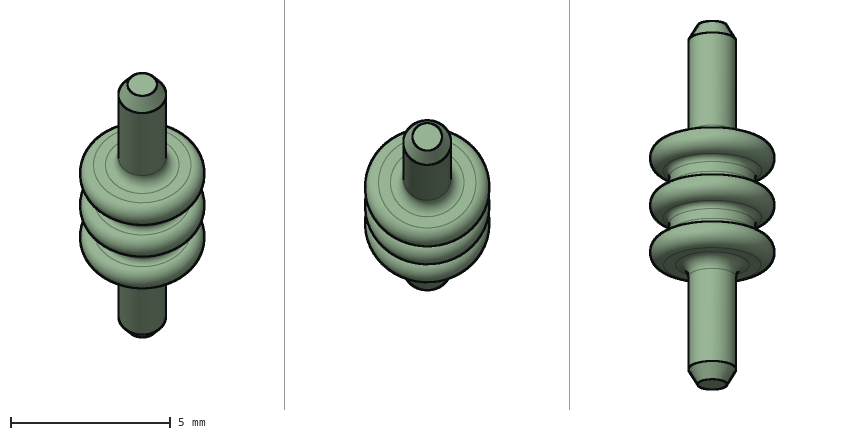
import cadquery as cq
import math

pin_length = 12.0
pin_radius = 1.5 / 2
tip_length = 0.5
tip_half_angle = 30.0
tip_radius = pin_radius - tip_length * math.tan(math.radians(tip_half_angle))

seal_length = 4.0
seal_radius = 3.9 / 2
core_radius = 2.7 / 2
rib_count = 3
rib_round = 0.85 / 2
rib_pitch = (seal_length - 2 * rib_round) / (rib_count - 1)
rib_round_centre = seal_radius - rib_round

collar_fillet = 0.4
groove_fillet = 0.2

fillet_centre = core_radius + groove_fillet
fillet_offset = fillet_centre - rib_round_centre
fillet_height = math.sqrt((rib_round + groove_fillet) ** 2 - fillet_offset**2)
touch_share = rib_round / (rib_round + groove_fillet)
touch_radius = rib_round_centre + fillet_offset * touch_share
touch_height = fillet_height * touch_share


def make_pin():
    """Round pin with a conical tip at each end."""
    half_length = pin_length / 2
    tip_start = half_length - tip_length
    return (
        cq.Workplane("XZ")
        .moveTo(0, -half_length)
        .lineTo(tip_radius, -half_length)
        .lineTo(pin_radius, -tip_start)
        .lineTo(pin_radius, tip_start)
        .lineTo(tip_radius, half_length)
        .lineTo(0, half_length)
        .close()
        .revolve(360, (0, 0, 0), (0, 1, 0))
    )


def add_groove(profile, lower_rib_z):
    """Continue the profile from the round of one rib to the start of the next one's."""
    upper_rib_z = lower_rib_z + rib_pitch
    return (
        profile
        .threePointArc((seal_radius, lower_rib_z), (touch_radius, lower_rib_z + touch_height))
        .tangentArcPoint((core_radius, lower_rib_z + fillet_height), relative=False)
        .lineTo(core_radius, upper_rib_z - fillet_height)
        .tangentArcPoint((touch_radius, upper_rib_z - touch_height), relative=False)
    )


def make_seal():
    """Seal body: full-round ribs, filleted grooves and a flared collar at each end."""
    end_z = seal_length / 2
    collar_z = end_z + collar_fillet
    collar_radius = pin_radius + collar_fillet
    first_rib_z = rib_round - end_z
    last_rib_z = end_z - rib_round

    arc_middle = collar_fillet * math.sqrt(0.5)
    arc_middle_radius = collar_radius - arc_middle
    arc_middle_z = collar_z - arc_middle

    profile = (
        cq.Workplane("XZ")
        .moveTo(0, -collar_z)
        .lineTo(pin_radius, -collar_z)
        .threePointArc((arc_middle_radius, -arc_middle_z), (collar_radius, -end_z))
        .lineTo(rib_round_centre, -end_z)
    )
    for groove in range(rib_count - 1):
        profile = add_groove(profile, first_rib_z + groove * rib_pitch)
    return (
        profile
        .threePointArc((seal_radius, last_rib_z), (rib_round_centre, end_z))
        .lineTo(collar_radius, end_z)
        .threePointArc((arc_middle_radius, arc_middle_z), (pin_radius, collar_z))
        .lineTo(0, collar_z)
        .close()
        .revolve(360, (0, 0, 0), (0, 1, 0))
    )


result = make_pin().union(make_seal())